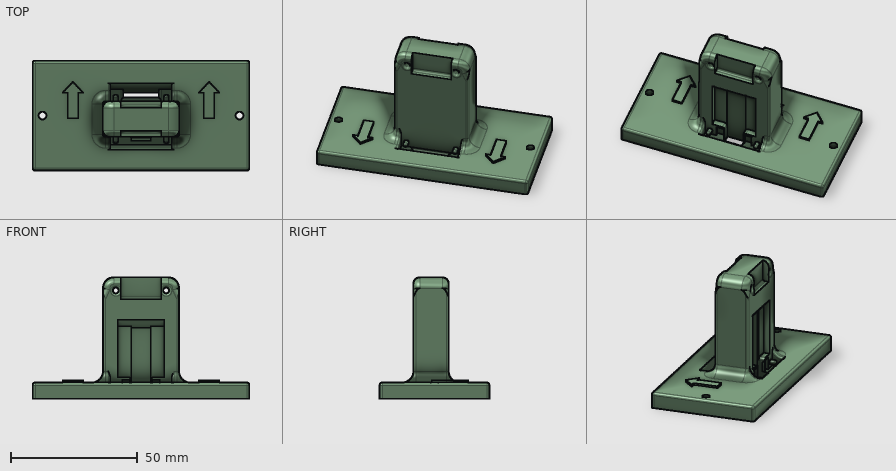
import cadquery as cq
import math

PLATE_X = 85.5
PLATE_Y = 43.35
PLATE_Z = 6.5
TOTAL_Z = 48.0
SMALL_FILLET = 1.0
SCREW_HOLE_DIA = 3.0
SCREW_HOLE_X = 38.8

TOWER_X = 30.1
TOWER_Y = 14.0
TOWER_OFFSET_Y = -1.4
TOWER_FRONT = TOWER_OFFSET_Y - TOWER_Y / 2
TOWER_BACK = TOWER_OFFSET_Y + TOWER_Y / 2
FLARE_RADIUS = 4.4
SHOULDER_RADIUS = 4.4
BROW_RADIUS = 2.65
TAPER_HEIGHT = 7.95

NOTCH_X = 16.1
NOTCH_Z = 8.7
NOTCH_DEPTH = 2.5

EYELET_DIA = 2.2
EYELET_X = 9.9
EYELET_DROP = 5.2
EYELET_ROUND = 1.0

POCKET_X = 18.3
POCKET_TOP = 31.1
POCKET_BOTTOM = 8.55
POCKET_DEPTH = 2.6
CHANNEL_X = 7.9
CHANNEL_DEPTH = 3.2
SLOT_X = 3.1
SLOT_CENTER_X = 5.9
SLOT_TOP = 7.5
SLOT_DEPTH = 1.4

WELL_X = 24.1
WELL_FLOOR = 2.6
WELL_FRONT = -13.4
WELL_BACK = 12.7
WELL_FRONT_ANGLE = 25
WELL_BACK_ANGLE = 30
WELL_RIM_RADIUS = 0.85
CHEEK_X = 1.0
WINDOW_X = 13.85
LEDGE = 1.5
WINDOW_FRONT = TOWER_BACK + LEDGE
CHUTE_FRONT = TOWER_FRONT - LEDGE

PIN_DIA = 2.0
PIN_X = 10.0
PIN_Z = 4.8
PIN_LENGTH = 2.6
PIN_TIP_RADIUS = 0.85

ARROW_X = 26.85
ARROW_TIP = 13.25
ARROW_NECK = 9.1
ARROW_TAIL = -1.0
ARROW_HEAD_HALF = 4.0
ARROW_STEM_HALF = 2.05
ARROW_HEIGHT = 0.8

SIDES = (-1, 1)
TOLERANCE = 0.01
MARGIN = 0.85
ARC_DIP = 1 - math.sqrt(0.5)


def run_out(height, angle):
    """Sideways travel over the height of a wall leaning by the angle from vertical."""
    return height * math.tan(math.radians(angle))


def block(x0, x1, y0, y1, z0, z1):
    """Box given by its limits along each axis."""
    return cq.Workplane("XY").box(x1 - x0, y1 - y0, z1 - z0, centered=False).translate((x0, y0, z0))


def bar_along_x(points, width):
    """Prism with a YZ outline, centred on X = 0."""
    return cq.Workplane("YZ").polyline(points).close().extrude(width / 2, both=True)


def plate():
    body = block(-PLATE_X / 2, PLATE_X / 2, -PLATE_Y / 2, PLATE_Y / 2, 0, PLATE_Z)
    body = body.edges("|Z").fillet(SMALL_FILLET)
    return body.faces(">Z").edges().fillet(SMALL_FILLET)


def tower_core():
    """Plain post with small vertical roundings, from the plate underside to the top."""
    core = block(-TOWER_X / 2, TOWER_X / 2, TOWER_FRONT, TOWER_BACK, 0, TOTAL_Z)
    return core.edges("|Z").fillet(SMALL_FILLET)


def tower_cap():
    """Arched envelope that rounds the top; its legs flare so the rounding fades out downwards."""
    half = TOWER_X / 2
    spread = BROW_RADIUS - SMALL_FILLET
    arch_end = TOTAL_Z - SHOULDER_RADIUS
    taper_end = TOTAL_Z - TAPER_HEIGHT
    slope = spread / (arch_end - taper_end)
    foot = half + slope * arch_end
    arc_dip = SHOULDER_RADIUS * ARC_DIP
    profile = (
        cq.Workplane("XZ", origin=(0, TOWER_BACK, 0))
        .moveTo(-foot, 0)
        .lineTo(-half, arch_end)
        .threePointArc((-half + arc_dip, TOTAL_Z - arc_dip), (-half + SHOULDER_RADIUS, TOTAL_Z))
        .lineTo(half - SHOULDER_RADIUS, TOTAL_Z)
        .threePointArc((half - arc_dip, TOTAL_Z - arc_dip), (half, arch_end))
        .lineTo(foot, 0)
        .close()
        .extrude(TOWER_Y)
    )
    legs_and_arch = profile.faces("<Y or >Y").edges("not <Z")
    return legs_and_arch.fillet(BROW_RADIUS)


def well_cheek():
    """Side wall of the well on +X, its upper edge rounded along the plate and up the flare."""
    inner = WELL_X / 2
    top = PLATE_Z + FLARE_RADIUS
    dip = FLARE_RADIUS * ARC_DIP
    cheek = (
        cq.Workplane("YZ", origin=(inner, 0, 0))
        .moveTo(WELL_FRONT, 0)
        .lineTo(WELL_FRONT, PLATE_Z)
        .lineTo(TOWER_FRONT - FLARE_RADIUS, PLATE_Z)
        .threePointArc((TOWER_FRONT - dip, PLATE_Z + dip), (TOWER_FRONT, top))
        .lineTo(TOWER_FRONT, TOTAL_Z)
        .lineTo(TOWER_BACK, TOTAL_Z)
        .lineTo(TOWER_BACK, top)
        .threePointArc((TOWER_BACK + dip, PLATE_Z + dip), (TOWER_BACK + FLARE_RADIUS, PLATE_Z))
        .lineTo(WELL_BACK, PLATE_Z)
        .lineTo(WELL_BACK, 0)
        .close()
        .extrude(CHEEK_X)
    )
    upper_zone = cq.selectors.BoxSelector(
        (inner - TOLERANCE, WELL_FRONT + TOLERANCE, PLATE_Z - TOLERANCE),
        (inner + TOLERANCE, WELL_BACK - TOLERANCE, TOTAL_Z - TOLERANCE),
    )
    cheek = cheek.edges(upper_zone).fillet(WELL_RIM_RADIUS)
    return cheek.intersect(block(0, PLATE_X, -PLATE_Y, PLATE_Y, 0, top))


def well(width):
    """Space of the well around the tower, with sloping end walls."""
    depth = PLATE_Z - WELL_FLOOR
    clear = PLATE_Z + FLARE_RADIUS
    front_run = run_out(depth, WELL_FRONT_ANGLE)
    back_run = run_out(depth, WELL_BACK_ANGLE)
    outline = [
        (WELL_FRONT, clear),
        (WELL_FRONT, PLATE_Z),
        (WELL_FRONT + front_run, WELL_FLOOR),
        (WELL_BACK - back_run, WELL_FLOOR),
        (WELL_BACK, PLATE_Z),
        (WELL_BACK, clear),
    ]
    return bar_along_x(outline, width).cut(tower_core())


def base_with_tower():
    """Plate and tower joined by a flare, with the well sunk around the tower foot."""
    body = plate().union(tower_core())
    foot_zone = cq.selectors.BoxSelector(
        (-TOWER_X / 2 - MARGIN, TOWER_FRONT - MARGIN, PLATE_Z - TOLERANCE),
        (TOWER_X / 2 + MARGIN, TOWER_BACK + MARGIN, PLATE_Z + TOLERANCE),
    )
    body = body.edges(foot_zone).fillet(FLARE_RADIUS)
    body = body.cut(well(WELL_X + 2 * WELL_RIM_RADIUS))
    cheek = well_cheek()
    return body.union(cheek).union(cheek.mirror("YZ"))


def cap_waste():
    """Material to remove from the upper tower so that it keeps the cap shape."""
    bottom = PLATE_Z + FLARE_RADIUS
    zone = block(-TOWER_X, TOWER_X, -TOWER_Y, TOWER_Y, bottom, TOTAL_Z + MARGIN)
    return zone.cut(tower_cap())


def notch(facing):
    """Notch in one broad face of the tower; facing is -1 for the front, 1 for the back."""
    face = TOWER_FRONT if facing < 0 else TOWER_BACK
    wall = face - facing * NOTCH_DEPTH
    outer = face + facing * MARGIN
    floor = TOTAL_Z - NOTCH_Z
    dip = SMALL_FILLET * ARC_DIP
    return (
        cq.Workplane("YZ")
        .moveTo(outer, floor)
        .lineTo(wall + facing * SMALL_FILLET, floor)
        .threePointArc((wall + facing * dip, floor + dip), (wall, floor + SMALL_FILLET))
        .lineTo(wall, TOTAL_Z + MARGIN)
        .lineTo(outer, TOTAL_Z + MARGIN)
        .close()
        .extrude(NOTCH_X / 2, both=True)
    )


def eyelet(x):
    """Through hole along Y whose two mouths are rounded outwards."""
    bore = EYELET_DIA / 2
    mouth = bore + EYELET_ROUND
    dip = EYELET_ROUND * ARC_DIP
    half = TOWER_Y / 2
    throat = half - EYELET_ROUND
    return (
        cq.Workplane("XY")
        .moveTo(0, -half)
        .lineTo(mouth, -half)
        .threePointArc((bore + dip, -half + dip), (bore, -throat))
        .lineTo(bore, throat)
        .threePointArc((bore + dip, half - dip), (mouth, half))
        .lineTo(0, half)
        .close()
        .revolve(360, (0, 0, 0), (0, 1, 0))
        .translate((x, TOWER_OFFSET_Y, TOTAL_Z - EYELET_DROP))
    )


def roofed_recess(width, depth, bottom, top):
    """Recess in the front face whose roof slopes down at 45 degrees towards the back wall."""
    back = TOWER_FRONT + depth
    outline = [(TOWER_FRONT, bottom), (back, bottom), (back, top - depth), (TOWER_FRONT, top)]
    return bar_along_x(outline, width)


def front_pocket():
    """Pocket with its central channel, and the slots in the two lugs left below it."""
    pocket = roofed_recess(POCKET_X, POCKET_DEPTH, POCKET_BOTTOM, POCKET_TOP)
    channel = roofed_recess(CHANNEL_X, CHANNEL_DEPTH, 0, POCKET_TOP)
    lug_gap = block(
        -CHANNEL_X / 2 - SMALL_FILLET, CHANNEL_X / 2 + SMALL_FILLET,
        TOWER_FRONT, TOWER_FRONT + POCKET_DEPTH,
        POCKET_BOTTOM - SMALL_FILLET, POCKET_BOTTOM,
    )
    cutter = pocket.union(channel).union(lug_gap)
    for side in SIDES:
        lug_round = (
            cq.Workplane("XZ", origin=(0, TOWER_FRONT + POCKET_DEPTH, 0))
            .center(side * (CHANNEL_X / 2 + SMALL_FILLET), POCKET_BOTTOM - SMALL_FILLET)
            .circle(SMALL_FILLET)
            .extrude(POCKET_DEPTH)
        )
        cutter = cutter.cut(lug_round)
        slot = roofed_recess(SLOT_X, SLOT_DEPTH, WELL_FLOOR, SLOT_TOP)
        cutter = cutter.union(slot.translate((side * SLOT_CENTER_X, 0, 0)))
    return cutter


def back_window():
    """Opening through the well floor behind the tower, rounded along its mouth."""
    floor_edge = WELL_BACK - run_out(PLATE_Z - WELL_FLOOR, WELL_BACK_ANGLE)
    bottom_edge = WELL_BACK - run_out(PLATE_Z, WELL_BACK_ANGLE)
    outline = [(WINDOW_FRONT, 0), (bottom_edge, 0), (floor_edge, WELL_FLOOR), (WINDOW_FRONT, WELL_FLOOR)]
    return bar_along_x(outline, WINDOW_X)


def round_window_mouth(body):
    """Round the side and front edges where the window meets the well floor."""
    mouth = cq.selectors.BoxSelector(
        (-WINDOW_X / 2 - TOLERANCE, WINDOW_FRONT - TOLERANCE, WELL_FLOOR - TOLERANCE),
        (WINDOW_X / 2 + TOLERANCE, WELL_BACK, WELL_FLOOR + TOLERANCE),
    )
    return body.edges(mouth).fillet(SMALL_FILLET)


def front_chute():
    """Opening below the channel whose outer wall slopes in under the tower."""
    run = run_out(WELL_FLOOR, WELL_FRONT_ANGLE)
    back = TOWER_FRONT + CHANNEL_DEPTH
    outline = [(CHUTE_FRONT, WELL_FLOOR), (CHUTE_FRONT + run, 0), (back, 0), (back, WELL_FLOOR)]
    return bar_along_x(outline, CHANNEL_X)


def pin(x):
    """Pin along Y standing out of both broad faces of the tower, with rounded tips."""
    length = TOWER_Y + 2 * PIN_LENGTH
    rod = cq.Workplane("XZ").circle(PIN_DIA / 2).extrude(length / 2, both=True)
    rod = rod.faces("<Y or >Y").edges().fillet(PIN_TIP_RADIUS)
    return rod.translate((x, TOWER_OFFSET_Y, PIN_Z))


def arrow(x):
    """Raised arrow on the plate pointing towards +Y."""
    half_outline = [
        (ARROW_STEM_HALF, ARROW_TAIL),
        (ARROW_STEM_HALF, ARROW_NECK),
        (ARROW_HEAD_HALF, ARROW_NECK),
    ]
    mirrored = [(-px, py) for px, py in reversed(half_outline)]
    outline = half_outline + [(0, ARROW_TIP)] + mirrored
    top = PLATE_Z + ARROW_HEIGHT
    return cq.Workplane("XY").polyline(outline).close().extrude(top).translate((x, 0, 0))


result = base_with_tower()
result = result.cut(back_window())
result = round_window_mouth(result)
result = result.cut(front_chute())
result = result.cut(cap_waste())
result = result.cut(front_pocket())

for facing in SIDES:
    result = result.cut(notch(facing))

for side in SIDES:
    result = result.cut(eyelet(side * EYELET_X))
    result = result.union(pin(side * PIN_X))
    result = result.union(arrow(side * ARROW_X))

screw_holes = (
    cq.Workplane("XY")
    .pushPoints([(side * SCREW_HOLE_X, 0) for side in SIDES])
    .circle(SCREW_HOLE_DIA / 2)
    .extrude(PLATE_Z)
)
result = result.cut(screw_holes)